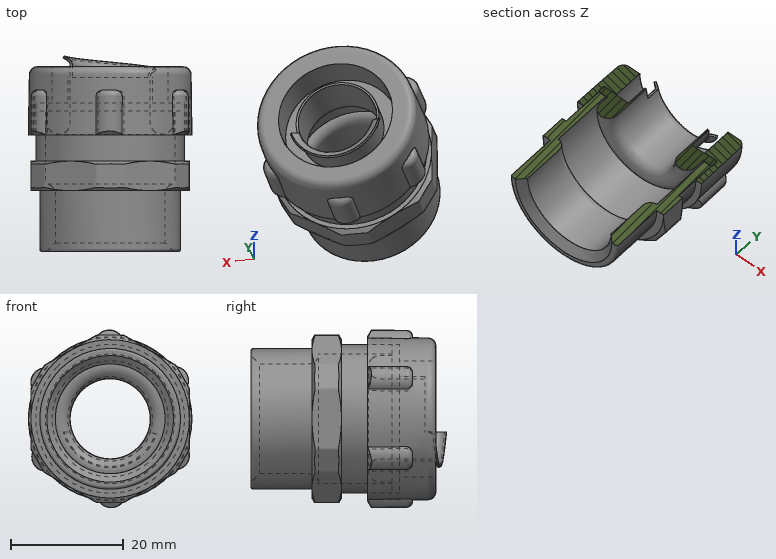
import cadquery as cq
import math


HEX_FRONT = 10.85
HEX_BACK = 16.1
CAP_FRONT = 20.68
CAP_BACK = 32.85
LIP_TOP = 34.75
SOCKET_END = 10.25
NOSE_FRONT = 20.85
NECK_END = 25.02
FLANGE_BACK = 26.4
SLEEVE_END = 30.93

SPIGOT_DIAMETER = 25.0
COLLAR_DIAMETER = 26.4
SOCKET_DIAMETER = 19.5
CAVITY_DIAMETER = 23.0
MOUTH_DIAMETER = 22.5
MOUTH_DEPTH = 1.55
SPIGOT_ROUND = 0.5
HEX_FLATS = 28.15
HEX_CORNER_FLATS = 29.75
HEX_EDGE_ROUND = 1.05
HEX_FACE_DIAMETER = 28.1
HEX_CHAMFER_ANGLE = 30.0

CAP_FRONT_DIAMETER = 29.05
CAP_BACK_DIAMETER = 28.7
CAP_ROUND = 1.45
CAP_OPENING_DIAMETER = 20.6
RIB_COUNT = 6
RIB_TURN = -0.7
RIB_RADIUS = 2.57
RIB_TIP_RADIUS = 15.78
RIB_BACK = 28.7
RIB_END_ROUND = 1.15
RIB_DRAFT = 0.6
RIB_CHAMFER_LENGTH = 0.73

HEAD_DIAMETER = 22.5
SLEEVE_DIAMETER = 15.0
THROAT_DIAMETER = 14.2
LIP_PITCH = 5.2
LIP_TURN = 150.0
LIP_OVERRUN = 4.0
LIP_END_OFFSET = 2.3
LIP_FLARE_ANGLE = 57.0
LIP_BEND_RADIUS = 0.7
LIP_FLARE_LENGTH = 1.0


def cone_frustum(start, length, start_radius, end_radius):
    """Solid frustum on the gland axis."""
    return cq.Workplane(obj=cq.Solid.makeCone(
        start_radius, end_radius, length, cq.Vector(0, 0, start), cq.Vector(0, 0, 1)))


def cylinder(start, end, diameter):
    """Solid cylinder on the gland axis."""
    return cq.Workplane(origin=(0, 0, start)).circle(diameter / 2).extrude(end - start)


def make_hex():
    """Hexagon with flattened corners, rounded edges and a conical chamfer on both faces."""
    thickness = HEX_BACK - HEX_FRONT
    across_corners = 2 / math.sqrt(3)
    start = cq.Workplane(origin=(0, 0, HEX_FRONT))
    flats = start.polygon(6, HEX_FLATS * across_corners).extrude(thickness)
    flats = flats.rotate((0, 0, 0), (0, 0, 1), 30)
    corners = start.polygon(6, HEX_CORNER_FLATS * across_corners).extrude(thickness)
    hexagon = flats.intersect(corners).edges("|Z").fillet(HEX_EDGE_ROUND)

    face_radius = HEX_FACE_DIAMETER / 2
    slope = math.tan(math.radians(HEX_CHAMFER_ANGLE))
    half = thickness / 2
    mid_radius = face_radius + half / slope
    double_cone = cone_frustum(HEX_FRONT, half, face_radius, mid_radius).union(
        cone_frustum(HEX_FRONT + half, half, mid_radius, face_radius))
    return hexagon.intersect(double_cone)


def make_bore():
    """Socket whose inner end rounds outward into a wider cavity."""
    socket = SOCKET_DIAMETER / 2
    cavity = CAVITY_DIAMETER / 2
    rounding = cavity - socket
    diagonal = rounding * math.sqrt(0.5)
    cavity_front = SOCKET_END + rounding
    return (
        cq.Workplane("XZ")
        .lineTo(socket, 0)
        .lineTo(socket, SOCKET_END)
        .threePointArc((cavity - diagonal, SOCKET_END + diagonal), (cavity, cavity_front))
        .lineTo(cavity, NECK_END)
        .lineTo(0, NECK_END)
        .close()
        .revolve(360, (0, 0, 0), (0, 1, 0))
    )


def make_body():
    """Spigot, hexagon and collar with a straight bore and a conical mouth."""
    spigot = cylinder(0, HEX_BACK, SPIGOT_DIAMETER).faces("<Z").edges().fillet(SPIGOT_ROUND)
    collar = cylinder(HEX_FRONT, NECK_END, COLLAR_DIAMETER)
    body = spigot.union(collar).union(make_hex())
    body = body.cut(make_bore())
    return body.cut(cone_frustum(0, MOUTH_DEPTH, MOUTH_DIAMETER / 2, SOCKET_DIAMETER / 2))


def make_ribs():
    """Rounded grip ribs, following the draft of the cap, with a conical front chamfer."""
    length = RIB_BACK - CAP_FRONT
    rib = cq.Workplane().circle(RIB_RADIUS).extrude(length)
    rib = rib.faces(">Z").edges().fillet(RIB_END_ROUND)
    rib = rib.rotate((0, 0, 0), (0, 1, 0), -RIB_DRAFT)
    rib = rib.translate((RIB_TIP_RADIUS - RIB_RADIUS, 0, CAP_FRONT))

    cap_radius = CAP_FRONT_DIAMETER / 2
    slope = (RIB_TIP_RADIUS - cap_radius) / RIB_CHAMFER_LENGTH
    rib = rib.intersect(cone_frustum(CAP_FRONT, length, cap_radius, cap_radius + slope * length))

    ribs = []
    for index in range(RIB_COUNT):
        angle = 90 + RIB_TURN + index * 360 / RIB_COUNT
        ribs.append(rib.rotate((0, 0, 0), (0, 0, 1), angle))
    return ribs


def make_cap():
    """Tapered union nut with grip ribs, screwed over the collar of the body."""
    cap = cone_frustum(CAP_FRONT, CAP_BACK - CAP_FRONT, CAP_FRONT_DIAMETER / 2, CAP_BACK_DIAMETER / 2)
    cap = cap.faces(">Z").edges().fillet(CAP_ROUND)
    for rib in make_ribs():
        cap = cap.union(rib)
    cap = cap.cut(cylinder(CAP_FRONT, FLANGE_BACK, COLLAR_DIAMETER))
    return cap.cut(cylinder(FLANGE_BACK, CAP_BACK, CAP_OPENING_DIAMETER))


def make_lip():
    """Flared lip rising along a helix from the sleeve end."""
    outer = SLEEVE_DIAMETER / 2
    inner = THROAT_DIAMETER / 2
    wall = outer - inner
    flare = math.radians(LIP_FLARE_ANGLE)
    half_flare = flare / 2

    tip_rise = wall * math.sin(flare)
    bend_height = -(tip_rise + LIP_FLARE_LENGTH * math.cos(flare) + LIP_BEND_RADIUS * math.sin(flare))
    centre = outer + LIP_BEND_RADIUS
    inner_bend = LIP_BEND_RADIUS + wall

    def bend_point(radius, angle):
        return (centre - radius * math.cos(angle), bend_height + radius * math.sin(angle))

    def flare_end(radius):
        x, z = bend_point(radius, flare)
        return (x + LIP_FLARE_LENGTH * math.sin(flare), z + LIP_FLARE_LENGTH * math.cos(flare))

    turns = LIP_TURN / 360
    foot = bend_height - LIP_PITCH * turns - wall
    section = (
        cq.Workplane("XZ")
        .moveTo(outer, foot)
        .lineTo(outer, bend_height)
        .threePointArc(bend_point(LIP_BEND_RADIUS, half_flare), bend_point(LIP_BEND_RADIUS, flare))
        .lineTo(*flare_end(LIP_BEND_RADIUS))
        .lineTo(*flare_end(inner_bend))
        .lineTo(*bend_point(inner_bend, flare))
        .threePointArc(bend_point(inner_bend, half_flare), (inner, bend_height))
        .lineTo(inner, foot)
        .close()
    )
    path = cq.Workplane(obj=cq.Wire.makeHelix(LIP_PITCH, LIP_PITCH * turns, outer))
    lip = section.sweep(path, isFrenet=True)

    tip_radius = flare_end(inner_bend)[0]
    tip_angle = 180 - math.degrees(math.asin(LIP_END_OFFSET / tip_radius))
    overrun_rise = LIP_PITCH * LIP_OVERRUN / 360
    lip = lip.rotate((0, 0, 0), (0, 0, 1), tip_angle + LIP_OVERRUN - LIP_TURN)
    lip = lip.translate((0, 0, LIP_TOP + overrun_rise - LIP_PITCH * turns))

    below_sleeve_end = cylinder(SLEEVE_END - 2 * LIP_PITCH, SLEEVE_END, 2 * SLEEVE_DIAMETER)
    end_cut = (
        cq.Workplane(origin=(0, 0, SLEEVE_END))
        .rect(-SLEEVE_DIAMETER, LIP_END_OFFSET, centered=False)
        .extrude(2 * LIP_PITCH)
    )
    return lip.cut(below_sleeve_end).cut(end_cut)


def make_head():
    """Thick front of the ferrule, loose in the cavity of the body, with a half-round nose."""
    inner = THROAT_DIAMETER / 2
    outer = HEAD_DIAMETER / 2
    middle = (inner + outer) / 2
    nose_back = NOSE_FRONT + outer - middle
    return (
        cq.Workplane("XZ")
        .moveTo(inner, NECK_END)
        .lineTo(inner, nose_back)
        .threePointArc((middle, NOSE_FRONT), (outer, nose_back))
        .lineTo(outer, NECK_END)
        .close()
        .revolve(360, (0, 0, 0), (0, 1, 0))
    )


def make_ferrule():
    """Head, flange clamped between body and cap, and sleeve with a helical flared lip."""
    flange = cylinder(NECK_END, FLANGE_BACK, COLLAR_DIAMETER)
    ferrule = flange.union(cylinder(FLANGE_BACK, SLEEVE_END, SLEEVE_DIAMETER))
    ferrule = ferrule.cut(cylinder(NECK_END, SLEEVE_END, THROAT_DIAMETER))
    return ferrule.union(make_head()).union(make_lip())


def along_y(part):
    """Turn a part from its local +Z axis to the +Y axis."""
    return part.rotate((0, 0, 0), (1, 0, 0), -90)


body = along_y(make_body())
cap = along_y(make_cap())
ferrule = along_y(make_ferrule())

result = cq.Compound.makeCompound([body.val(), cap.val(), ferrule.val()])